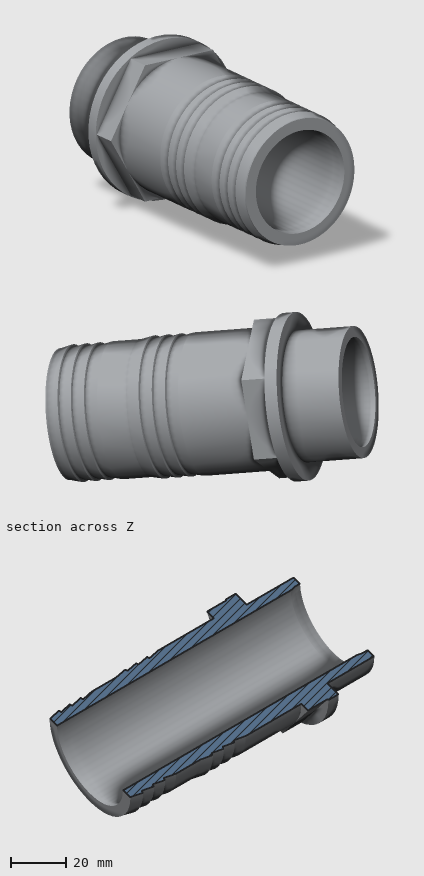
import cadquery as cq
import math

total_length = 111.0
flange_start = 21.3
flange_end = 26.0
hex_end = 34.9
first_barbs_start = 60.0
second_barbs_start = 91.0

spigot_diameter = 47.8
flange_diameter = 61.0
large_barb_diameter = 52.0
small_barb_diameter = 50.0
tip_diameter = 47.8
bore_diameter = 39.0
mouth_diameter = 40.0

hex_across_flats = large_barb_diameter
hex_across_corners = hex_across_flats / math.cos(math.pi / 6)

barb_count = 4
barb_pitch = 5.0
riser_length = 0.28
tip_land_length = 0.7

mouth_depth = 2.2
mouth_taper_length = 2.4


def barb_points(start, crest_radius, root_radius, end):
    """Profile of one barb row, ending at the root of its last barb."""
    points = []
    for index in range(barb_count):
        crest = start + index * barb_pitch
        points.append((crest, crest_radius))
        if index < barb_count - 1:
            points.append((crest + barb_pitch - riser_length, root_radius))
    points.append((end, root_radius))
    return points


def revolve_about_x(points):
    """Solid of revolution from (axial position, radius) points."""
    profile = cq.Workplane("XY").polyline(points).close()
    return profile.revolve(360, (0, 0, 0), (1, 0, 0))


def outer_body():
    first_barbs_end = first_barbs_start + barb_count * barb_pitch
    points = [
        (0, 0),
        (0, spigot_diameter / 2),
        (flange_start, spigot_diameter / 2),
        (flange_start, flange_diameter / 2),
        (flange_end, flange_diameter / 2),
        (flange_end, large_barb_diameter / 2),
    ]
    points += barb_points(
        first_barbs_start, large_barb_diameter / 2, small_barb_diameter / 2, first_barbs_end
    )
    points += barb_points(
        second_barbs_start, small_barb_diameter / 2, tip_diameter / 2, total_length - tip_land_length
    )
    points += [(total_length, tip_diameter / 2), (total_length, 0)]
    return revolve_about_x(points)


def wrench_hexagon():
    return (
        cq.Workplane("YZ", origin=(flange_end, 0, 0))
        .polygon(6, hex_across_corners)
        .extrude(hex_end - flange_end)
    )


def stepped_bore():
    return revolve_about_x([
        (0, 0),
        (0, mouth_diameter / 2),
        (mouth_depth, mouth_diameter / 2),
        (mouth_depth + mouth_taper_length, bore_diameter / 2),
        (total_length, bore_diameter / 2),
        (total_length, 0),
    ])


result = outer_body().union(wrench_hexagon()).cut(stepped_bore())